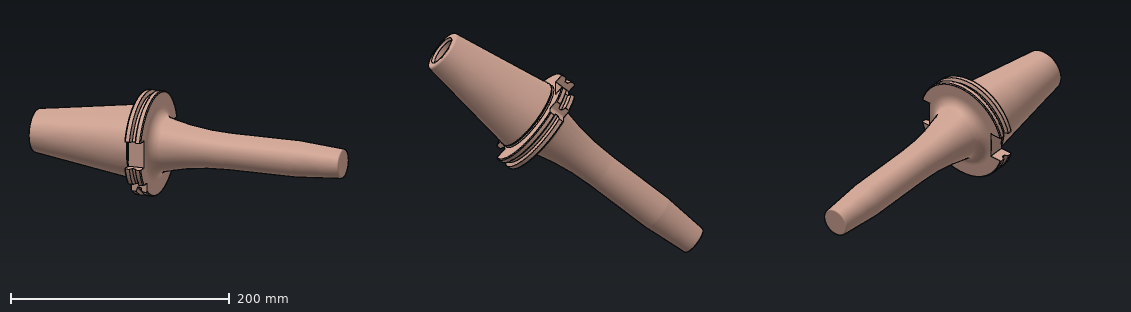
import cadquery as cq
import math


TOTAL_LENGTH = 301.5
TAPER_RATIO = 7 / 24
GAGE_X = 102.0
GAGE_RADIUS = 35.0
SMALL_END_RADIUS = GAGE_RADIUS - GAGE_X * TAPER_RATIO / 2
SMALL_END_FILLET = 2.5

RELIEF_DEPTH = 1.0
RELIEF_BOTTOM_START_X = 102.5
RELIEF_BOTTOM_END_X = 103.5

FLANGE_START_X = 104.7
FLANGE_END_X = 120.3
FLANGE_DIAMETER = 97.5
FLANGE_RADIUS = FLANGE_DIAMETER / 2
FLANGE_CHAMFER = 1.0
GROOVE_CENTER_X = 112.5
GROOVE_TOP_WIDTH = 6.0
GROOVE_BOTTOM_WIDTH = 2.7
GROOVE_DEPTH = 3.3

SLOT_WIDTH = 25.5
SLOT_FLOOR_PLUS_Y = 35.0
SLOT_FLOOR_MINUS_Y = 37.7
NOTCH_Y = -30.0
NOTCH_Z = -29.5
NOTCH_FILLET = 1.5

FILLET_END_X = 129.0
FILLET_END_RADIUS = 24.7
SWEEP_END_X = 190.3

ARBOR_RADIUS = 17.0
NOSE_START_X = 257.3
NOSE_END_RADIUS = 13.5
NOSE_EDGE_FILLET = 1.5

BORE_MOUTH_RADIUS = 14.2
PILOT_RADIUS = 12.7
MOUTH_CHAMFER_LENGTH = 2.5
PILOT_DEPTH = 7.8
THREAD_RADIUS = 12.0
THREAD_DEPTH = 12.0
CORE_RADIUS = 10.5
CORE_DEPTH = 36.2
DRILL_POINT_ANGLE = 118


def revolve_about_x(profile):
    return profile.close().revolve(360, (0, 0, 0), (1, 0, 0))


def make_body():
    sweep_length = SWEEP_END_X - FILLET_END_X
    sweep_slope = 2 * math.atan((FILLET_END_RADIUS - ARBOR_RADIUS) / sweep_length)
    sweep_radius = sweep_length / math.sin(sweep_slope)
    sweep_mid = (
        SWEEP_END_X - sweep_radius * math.sin(sweep_slope / 2),
        ARBOR_RADIUS + sweep_radius * (1 - math.cos(sweep_slope / 2)),
    )
    fillet_radius = (FILLET_END_X - FLANGE_END_X) / (1 - math.sin(sweep_slope))
    fillet_start_radius = FILLET_END_RADIUS + fillet_radius * math.cos(sweep_slope)
    fillet_mid_angle = (math.pi / 2 - sweep_slope) / 2
    fillet_mid = (
        FLANGE_END_X + fillet_radius * (1 - math.cos(fillet_mid_angle)),
        fillet_start_radius - fillet_radius * math.sin(fillet_mid_angle),
    )

    rim = FLANGE_RADIUS - FLANGE_CHAMFER
    groove_bottom = FLANGE_RADIUS - GROOVE_DEPTH
    profile = (
        cq.Workplane("XY")
        .lineTo(0, SMALL_END_RADIUS)
        .lineTo(GAGE_X, GAGE_RADIUS)
        .lineTo(RELIEF_BOTTOM_START_X, GAGE_RADIUS - RELIEF_DEPTH)
        .lineTo(RELIEF_BOTTOM_END_X, GAGE_RADIUS - RELIEF_DEPTH)
        .lineTo(FLANGE_START_X, GAGE_RADIUS)
        .lineTo(FLANGE_START_X, rim)
        .lineTo(FLANGE_START_X + FLANGE_CHAMFER, FLANGE_RADIUS)
        .lineTo(GROOVE_CENTER_X - GROOVE_TOP_WIDTH / 2, FLANGE_RADIUS)
        .lineTo(GROOVE_CENTER_X - GROOVE_BOTTOM_WIDTH / 2, groove_bottom)
        .lineTo(GROOVE_CENTER_X + GROOVE_BOTTOM_WIDTH / 2, groove_bottom)
        .lineTo(GROOVE_CENTER_X + GROOVE_TOP_WIDTH / 2, FLANGE_RADIUS)
        .lineTo(FLANGE_END_X - FLANGE_CHAMFER, FLANGE_RADIUS)
        .lineTo(FLANGE_END_X, rim)
        .lineTo(FLANGE_END_X, fillet_start_radius)
        .threePointArc(fillet_mid, (FILLET_END_X, FILLET_END_RADIUS))
        .threePointArc(sweep_mid, (SWEEP_END_X, ARBOR_RADIUS))
        .lineTo(NOSE_START_X, ARBOR_RADIUS)
        .lineTo(TOTAL_LENGTH, NOSE_END_RADIUS)
        .lineTo(TOTAL_LENGTH, 0)
    )
    body = revolve_about_x(profile)
    body = body.faces("<X").edges().fillet(SMALL_END_FILLET)
    return body.faces(">X").edges().fillet(NOSE_EDGE_FILLET)


def make_bore():
    thread_start_x = PILOT_DEPTH + PILOT_RADIUS - THREAD_RADIUS
    core_start_x = THREAD_DEPTH + THREAD_RADIUS - CORE_RADIUS
    point_length = CORE_RADIUS / math.tan(math.radians(DRILL_POINT_ANGLE / 2))
    profile = (
        cq.Workplane("XY")
        .lineTo(0, BORE_MOUTH_RADIUS)
        .lineTo(MOUTH_CHAMFER_LENGTH, PILOT_RADIUS)
        .lineTo(PILOT_DEPTH, PILOT_RADIUS)
        .lineTo(thread_start_x, THREAD_RADIUS)
        .lineTo(THREAD_DEPTH, THREAD_RADIUS)
        .lineTo(core_start_x, CORE_RADIUS)
        .lineTo(CORE_DEPTH, CORE_RADIUS)
        .lineTo(CORE_DEPTH + point_length, 0)
    )
    return revolve_about_x(profile)


def make_flange_cutter(y_start, y_end, z_start, z_end):
    """Box through the full flange width, spanning the given Y and Z ranges."""
    size = (FLANGE_END_X - FLANGE_START_X, y_end - y_start, z_end - z_start)
    box = cq.Workplane("XY").box(*size, centered=False)
    return box.translate((FLANGE_START_X, y_start, z_start))


def make_drive_slots():
    half_width = SLOT_WIDTH / 2
    plus_slot = make_flange_cutter(SLOT_FLOOR_PLUS_Y, FLANGE_RADIUS, -half_width, half_width)
    minus_slot = make_flange_cutter(-FLANGE_RADIUS, -SLOT_FLOOR_MINUS_Y, -half_width, half_width)
    return plus_slot.union(minus_slot)


def make_notch():
    notch = make_flange_cutter(-FLANGE_RADIUS, NOTCH_Y, -FLANGE_RADIUS, NOTCH_Z)
    return notch.edges("|X and >Y and >Z").fillet(NOTCH_FILLET)


result = make_body().cut(make_bore()).cut(make_drive_slots()).cut(make_notch())